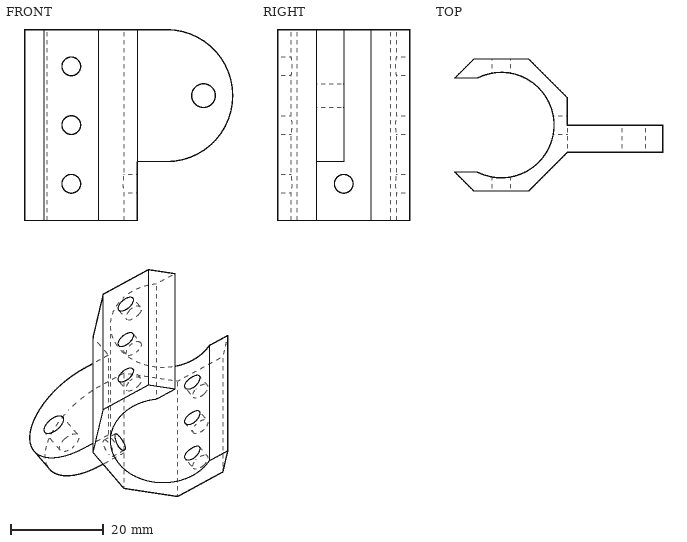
import cadquery as cq
import math

overall_length = 44.95
body_width = 28.55
height = 41.3

bore_radius = 11.38
mouth_half_width = 10.1
screw_hole_diameter = 4.0
screw_hole_pitch = 12.7

pivot_hole_diameter = 5.1
pivot_hole_x = 28.55

half_width = body_width / 2
half_side = half_width * math.tan(math.radians(22.5))
mouth_x = -(half_width + half_side - mouth_half_width)
lug_end_x = overall_length + mouth_x
lug_radius = half_width
lug_center_x = lug_end_x - lug_radius
lug_center_z = height - lug_radius
lug_thickness = half_side
middle_z = height / 2
screw_hole_heights = [middle_z + step * screw_hole_pitch for step in (-1, 0, 1)]


def make_body():
    octagon_diameter = 2 * math.hypot(half_width, half_side)
    return (
        cq.Workplane("XY")
        .polygon(8, octagon_diameter)
        .extrude(height)
        .rotate((0, 0, 0), (0, 0, 1), 22.5)
    )


def make_lug():
    """Round-ended plate, started inside the wall so that it joins the body."""
    root_x = (bore_radius + half_width) / 2
    return (
        cq.Workplane("XZ")
        .moveTo(root_x, height)
        .lineTo(lug_center_x, height)
        .threePointArc((lug_end_x, lug_center_z), (lug_center_x, height - 2 * lug_radius))
        .lineTo(root_x, height - 2 * lug_radius)
        .close()
        .extrude(lug_thickness)
    )


def make_bore_and_mouth():
    bore = cq.Workplane("XY").circle(bore_radius).extrude(height)
    mouth = cq.Workplane("XY").box(
        half_width, 2 * mouth_half_width, height, centered=(False, True, False)
    )
    return bore.union(mouth.translate((-half_width, 0, 0)))


def make_cross_hole(diameter, x, z):
    """Cylinder along Y through the full width of the part."""
    return cq.Workplane("XZ").center(x, z).circle(diameter / 2).extrude(half_width, both=True)


result = make_body().union(make_lug()).cut(make_bore_and_mouth())

for hole_z in screw_hole_heights:
    result = result.cut(make_cross_hole(screw_hole_diameter, 0, hole_z))

result = result.cut(make_cross_hole(pivot_hole_diameter, pivot_hole_x, lug_center_z))

back_hole = (
    cq.Workplane("YZ").center(0, screw_hole_heights[0]).circle(screw_hole_diameter / 2).extrude(half_width)
)
result = result.cut(back_hole)